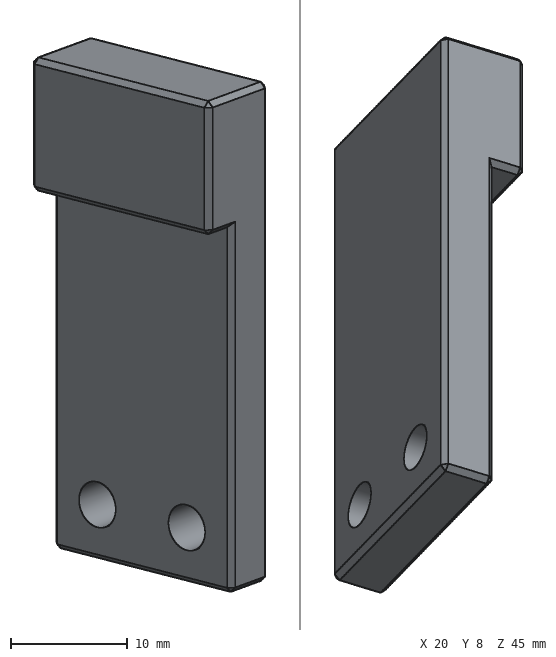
import cadquery as cq

height = 45.0
width = 20.0
head_depth = 8.0
head_height = 12.0
plate_thickness = 5.0
edge_chamfer = 0.5
hole_diameter = 4.1
hole_spacing = 10.0
hole_height = 5.0

head_bottom = height - head_height


def block(depth, bottom, top):
    """Full-width block from the back face, with every edge chamfered."""
    return (
        cq.Workplane("XY")
        .box(width, depth, top - bottom, centered=(True, False, False))
        .translate((0, -depth, bottom))
        .edges()
        .chamfer(edge_chamfer)
    )


def mounting_holes():
    """Pair of cylinders that pass through the plate along Y."""
    return (
        cq.Workplane("XZ")
        .pushPoints([(side * hole_spacing / 2, hole_height) for side in (-1, 1)])
        .circle(hole_diameter / 2)
        .extrude(plate_thickness)
    )


plate = block(plate_thickness, 0, height)
head = block(head_depth, head_bottom, height)
result = plate.union(head).cut(mounting_holes())